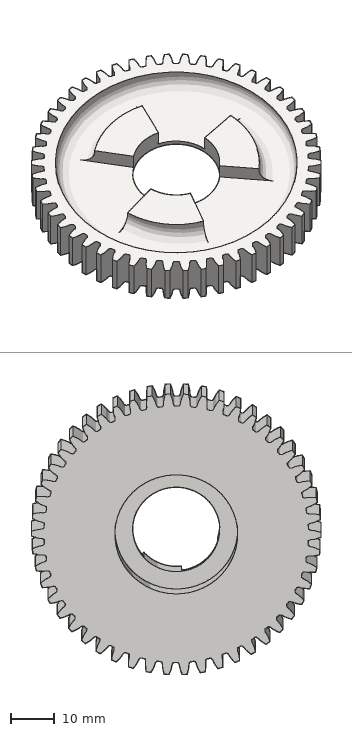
import cadquery as cq
import math

tooth_count = 50
tip_radius = 33.0
pressure_angle = math.radians(14.5)
dedendum_factor = 1.25
module = 2 * tip_radius / (tooth_count + 2)
pitch_radius = module * tooth_count / 2
base_radius = pitch_radius * math.cos(pressure_angle)
root_radius = pitch_radius - dedendum_factor * module
root_flat_width = 0.85
flank_clearance = 0.03
pitch_angle = 2 * math.pi / tooth_count

height = 9.5
bore_radius = 9.9
bearing_seat_radius = 14.0
bearing_seat_depth = 4.55

recess_radius = 27.55
recess_depth = 3.8
cove_radius = 3.25
floor_z = height - recess_depth
cove_top_z = floor_z + cove_radius
cove_diagonal = cove_radius * math.sqrt(0.5)

pad_count = 3
pad_span = 55.0
pad_radius = 18.95
first_pad_direction = 90.0

overlap = 0.3
flank_steps = 6


def polar(radius, angle):
    return (radius * math.cos(angle), radius * math.sin(angle))


def involute(angle):
    return math.tan(angle) - angle


def half_gap_angle(radius):
    """Half the angle between two facing involute flanks at this radius."""
    local_pressure_angle = math.acos(base_radius / radius)
    pitch_half_gap = pitch_angle / 4 + flank_clearance / pitch_radius
    return pitch_half_gap - involute(pressure_angle) + involute(local_pressure_angle)


def tooth_gap():
    """Cutter for the gap centred on +X: involute flanks blended smoothly through the root."""
    outer_radius = tip_radius + overlap
    step = (outer_radius - base_radius) / flank_steps
    radii = [base_radius + step * i for i in range(flank_steps + 1)]
    upper_flank = [polar(r, half_gap_angle(r)) for r in reversed(radii)]
    lower_flank = [polar(r, -half_gap_angle(r)) for r in radii]
    half_flat_angle = root_flat_width / 2 / root_radius
    root = [polar(root_radius, angle) for angle in (half_flat_angle, 0, -half_flat_angle)]
    return cq.Workplane("XY").spline(upper_flank + root + lower_flank).close().extrude(height)


def toothed_blank():
    blank = cq.Workplane("XY").circle(tip_radius).extrude(height)
    gap = tooth_gap().val()
    gaps = [gap.rotate((0, 0, 0), (0, 0, 1), i * 360 / tooth_count) for i in range(tooth_count)]
    return cq.Workplane(blank.val().cut(*gaps))


def recess():
    """Round recess whose wall meets the floor in a concave cove."""
    cove_centre_r = recess_radius - cove_radius
    cove_middle = (cove_centre_r + cove_diagonal, cove_top_z - cove_diagonal)
    return (
        cq.Workplane("XZ")
        .moveTo(0, floor_z)
        .lineTo(cove_centre_r, floor_z)
        .threePointArc(cove_middle, (recess_radius, cove_top_z))
        .lineTo(recess_radius, height)
        .lineTo(0, height)
        .close()
        .revolve(360, (0, 0, 0), (0, 1, 0))
    )


def pad(direction):
    """Sector-shaped pad with the same cove around its outer wall."""
    cove_centre_r = pad_radius + cove_radius
    cove_middle = (cove_centre_r - cove_diagonal, cove_top_z - cove_diagonal)
    pad_bottom_z = floor_z - overlap
    sector = (
        cq.Workplane("XZ")
        .moveTo(bore_radius, pad_bottom_z)
        .lineTo(cove_centre_r, pad_bottom_z)
        .lineTo(cove_centre_r, floor_z)
        .threePointArc(cove_middle, (pad_radius, cove_top_z))
        .lineTo(pad_radius, height)
        .lineTo(bore_radius, height)
        .close()
        .revolve(pad_span, (0, 0, 0), (0, 1, 0))
    )
    return sector.rotate((0, 0, 0), (0, 0, 1), direction - pad_span / 2)


bore = cq.Workplane("XY").circle(bore_radius).extrude(height)
bearing_seat = cq.Workplane("XY").circle(bearing_seat_radius).extrude(bearing_seat_depth)

result = toothed_blank().cut(recess())
for i in range(pad_count):
    result = result.union(pad(first_pad_direction + i * 360 / pad_count))
result = result.cut(bore).cut(bearing_seat)